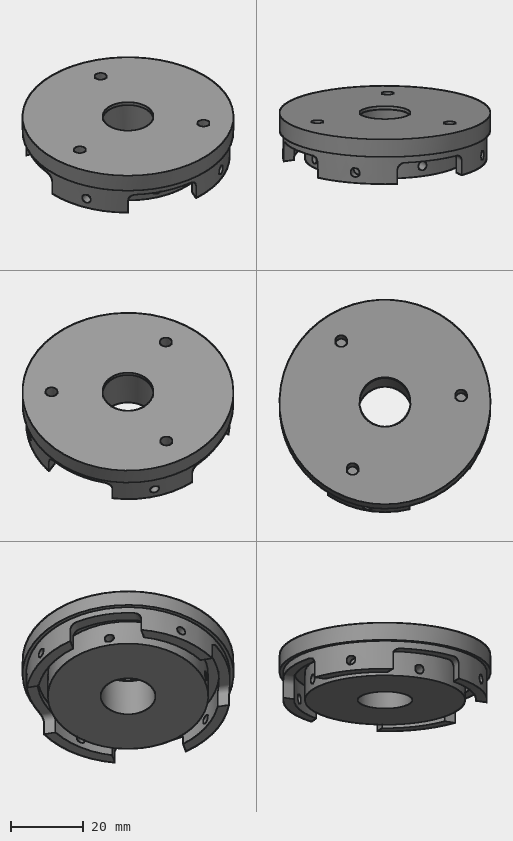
import cadquery as cq
import math

total_height = 13.0
plate_thickness = 5.0
skirt_height = total_height - plate_thickness

plate_diameter = 58.0
skirt_diameter = 56.0
skirt_inner_diameter = 50.0
hub_diameter = 44.0

bore_diameter = 15.0
lip_diameter = 14.0
lip_thickness = 1.0

window_width = 20.0
window_height = 6.0
window_corner_radius = 2.0

top_hole_diameter = 3.3
top_hole_depth = 4.0
top_hole_circle_radius = 21.0
top_hole_count = 3

radial_hole_diameter = 2.55
leg_hole_height = 3.0
y_side_hub_hole_height = 3.0
x_side_hub_hole_height = 2.5
hub_hole_depth = 5.0
leg_angles = (45, 135, 225, 315)
y_side_angles = (90, 270)
x_side_angles = (0, 180)


def cylinder(diameter, height, base=0.0):
    """Upright cylinder on the Z axis."""
    return cq.Workplane("XY").workplane(offset=base).circle(diameter / 2).extrude(height)


def radial_cylinder(angle, height, inner_radius, outer_radius):
    """Hole-sized cylinder pointing outwards from the Z axis at an angle in degrees."""
    return (
        cq.Workplane("YZ", origin=(inner_radius, 0, height))
        .circle(radial_hole_diameter / 2)
        .extrude(outer_radius - inner_radius)
        .rotate((0, 0, 0), (0, 0, 1), angle)
    )


def make_skirt():
    """Ring with an arch-topped window on each of the four sides."""
    skirt = cylinder(skirt_diameter, skirt_height).cut(cylinder(skirt_inner_diameter, skirt_height))
    window = (
        cq.Workplane("XY")
        .box(plate_diameter, window_width, window_height, centered=(True, True, False))
        .edges("|X and >Z")
        .fillet(window_corner_radius)
    )
    return skirt.cut(window).cut(window.rotate((0, 0, 0), (0, 0, 1), 90))


plate = cylinder(plate_diameter, plate_thickness, skirt_height)
hub = cylinder(hub_diameter, skirt_height)
result = plate.union(hub).union(make_skirt())

result = result.cut(cylinder(lip_diameter, total_height))
result = result.cut(cylinder(bore_diameter, total_height - lip_thickness))

for index in range(top_hole_count):
    angle = math.pi + index * 2 * math.pi / top_hole_count
    top_hole = cylinder(top_hole_diameter, top_hole_depth, total_height - top_hole_depth)
    x = top_hole_circle_radius * math.cos(angle)
    y = top_hole_circle_radius * math.sin(angle)
    result = result.cut(top_hole.translate((x, y, 0)))

gap_middle_radius = (skirt_inner_diameter + hub_diameter) / 4
for angle in leg_angles:
    result = result.cut(radial_cylinder(angle, leg_hole_height, gap_middle_radius, plate_diameter / 2))

hub_hole_end_radius = hub_diameter / 2 - hub_hole_depth
for angles, height in (
    (y_side_angles, y_side_hub_hole_height),
    (x_side_angles, x_side_hub_hole_height),
):
    for angle in angles:
        result = result.cut(radial_cylinder(angle, height, hub_hole_end_radius, gap_middle_radius))